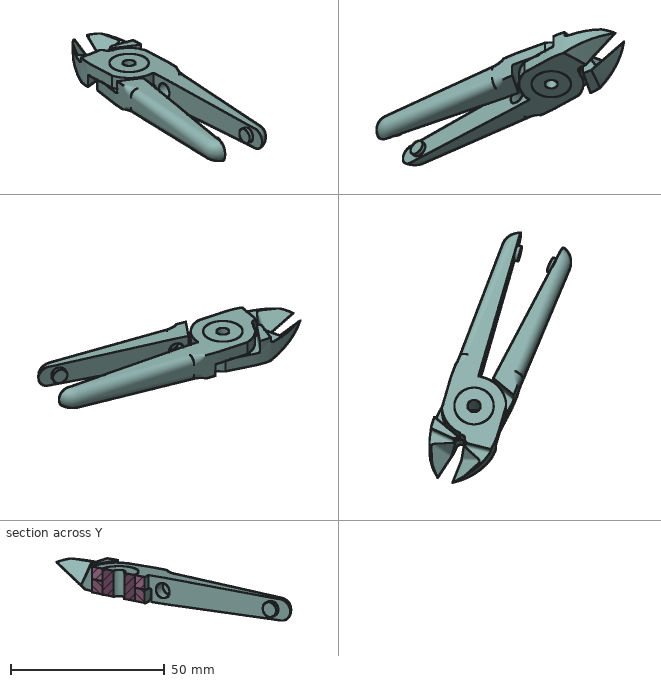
import cadquery as cq
import math


overall_length = 90.5
thickness = 9.0
half_thickness = thickness / 2
oversize = 18.1

pivot_radius = 6.4
pivot_bore_radius = 2.1
disc_radius = 10.5
channel_half_width = 11.4
channel_angle = 20.9
channel_fillet = 0.5

tip_x = -27.0
tip_y = 2.5
tip_z = 2.5
throat_x = -12.8
throat_y = 1.45
throat_mid_x = -11.2
throat_mid_y = -0.9
throat_end_x = -10.95
throat_end_y = 0.7
throat_disc_y = 1.1
jaw_crown_x = -8.3
jaw_crown_y = 10.8
jaw_shoulder_x = -6.2

jaw_waist_end_x = 4.0
handle_waist_end_x = -4.2
handle_shoulder_x = 6.9

step_low_x = -13.5
step_low_z = 2.4
step_top_x = -13.2
step_skew = 0.095
step_fillet = 0.8
jaw_crest_x = -23.9
jaw_crest_z = 3.6
valley_low_point = (-16.5, -1.6, -3.5)
valley_high_point = (-16.7, -8.2, 2.5)
wall_top_point = (-13.5, -1.5, 2.4)
bevel_reach = 2.5
valley_fillet = 1.1
underside_slope_inner = 0.59
underside_slope_outer = 0.46
underside_width = 11.3

grip_start_x = 16.65
grip_end_x = 57.7
shoulder_y = 10.7
grip_end_y = 11.8
grip_end_half_height = 3.6
inner_face_y = 1.4
inner_face_slope = 0.0953
round_start = 2.5
round_end = 3.5
inner_trim = 0.9
runout_length = 4.7
runout_overlap = 0.3
runout_steps = 4
seat_x = 15.6
seat_depth = 4.5
pad_x = 56.5
pad_radius = 2.5
pad_height = 1.45


def on_disc(x):
    return math.sqrt(disc_radius**2 - x**2)


def inner_y(x):
    return inner_face_y + inner_face_slope * x


outer_face_slope = (grip_end_y - shoulder_y) / (grip_end_x - handle_shoulder_x)


def outer_y(x):
    return shoulder_y + outer_face_slope * (x - handle_shoulder_x)


jaw_back_radius = ((jaw_crown_x - tip_x)**2 + (jaw_crown_y - tip_y)**2) / (2 * (jaw_crown_y - tip_y))


def jaw_back_y(x):
    return jaw_crown_y - jaw_back_radius + math.sqrt(jaw_back_radius**2 - (x - jaw_crown_x)**2)


grip_start_y = inner_y(grip_start_x)
grip_rise = (outer_y(grip_start_x) - grip_start_y) / (1 + inner_face_slope * outer_face_slope)
grip_start_outer_x = grip_start_x - inner_face_slope * grip_rise
grip_start_outer_y = outer_y(grip_start_outer_x)

cap_run = tip_x + overall_length - grip_end_x
cap_tip_y = inner_y(tip_x + overall_length)
cap_axis_y = (grip_end_y**2 - cap_tip_y**2 - cap_run**2) / (2 * (grip_end_y - cap_tip_y))

crotch_a = 1 + inner_face_slope**2
crotch_b = inner_face_y * inner_face_slope
crotch_c = inner_face_y**2 - disc_radius**2
crotch_x = (-crotch_b + math.sqrt(crotch_b**2 - crotch_a * crotch_c)) / crotch_a


def lever_plate():
    """Jaw on -Y, disc, and handle root on +Y, at full thickness."""
    jaw_middle_x = (tip_x + jaw_shoulder_x) / 2
    disc_start_x = -math.sqrt(disc_radius**2 - throat_disc_y**2)
    half_arc = math.sqrt(0.5) * disc_radius
    return (
        cq.Workplane("XY", origin=(0, 0, -half_thickness))
        .moveTo(tip_x, -tip_y)
        .lineTo(throat_x, -throat_y)
        .threePointArc((throat_mid_x, throat_mid_y), (throat_end_x, throat_end_y))
        .lineTo(disc_start_x, throat_disc_y)
        .threePointArc((-half_arc, half_arc), (handle_waist_end_x, on_disc(handle_waist_end_x)))
        .lineTo(handle_shoulder_x, shoulder_y)
        .lineTo(grip_start_outer_x, grip_start_outer_y)
        .lineTo(grip_start_x, grip_start_y)
        .lineTo(crotch_x, inner_y(crotch_x))
        .threePointArc((half_arc, -half_arc), (jaw_waist_end_x, -on_disc(jaw_waist_end_x)))
        .lineTo(jaw_shoulder_x, -jaw_back_y(jaw_shoulder_x))
        .threePointArc((jaw_middle_x, -jaw_back_y(jaw_middle_x)), (tip_x, -tip_y))
        .close()
        .extrude(thickness)
    )


def grip_section(plane, width, half_height, rounding):
    """Handle cross section, flat inside and rounded at both outer edges; local x runs outwards."""
    bulge = rounding * (1 - math.sqrt(0.5))
    return (
        cq.Workplane(plane)
        .moveTo(-inner_trim, -half_height)
        .lineTo(width - rounding, -half_height)
        .threePointArc((width - bulge, -half_height + bulge), (width, -half_height + rounding))
        .lineTo(width, half_height - rounding)
        .threePointArc((width - bulge, half_height - bulge), (width - rounding, half_height))
        .lineTo(-inner_trim, half_height)
        .close()
    )


def grip():
    start_plane = cq.Plane(
        origin=(grip_start_x, grip_start_y, 0),
        xDir=(-inner_face_slope, 1, 0),
        normal=(1, inner_face_slope, 0),
    )
    start_width = math.hypot(grip_start_outer_x - grip_start_x, grip_rise)
    end_plane = cq.Plane(origin=(grip_end_x, inner_y(grip_end_x), 0), xDir=(0, 1, 0), normal=(1, 0, 0))
    start = grip_section(start_plane, start_width, half_thickness, round_start)
    end = grip_section(end_plane, grip_end_y - inner_y(grip_end_x), grip_end_half_height, round_end)
    return cq.Workplane(cq.Solid.makeLoft([start.wire().val(), end.wire().val()], True))


def grip_cap():
    """The end section swung round an axis parallel to Z."""
    plane = cq.Plane(origin=(grip_end_x, cap_axis_y + inner_trim, 0), xDir=(0, 1, 0), normal=(1, 0, 0))
    width = grip_end_y - cap_axis_y - inner_trim
    section = grip_section(plane, width, grip_end_half_height, round_end)
    return section.revolve(90, (-inner_trim, 0, 0), (-inner_trim, -1, 0))


def inner_trimmer():
    """Cutter that leaves one flat inner face along the whole handle."""
    near_x = disc_radius + 0.9
    trim_depth = 3 * inner_trim
    far_x = grip_end_x + oversize
    return (
        cq.Workplane("XY", origin=(0, 0, -half_thickness))
        .moveTo(near_x, inner_y(near_x))
        .lineTo(far_x, inner_y(far_x))
        .lineTo(far_x, inner_y(far_x) - trim_depth)
        .lineTo(near_x, inner_y(near_x) - trim_depth)
        .close()
        .extrude(thickness)
    )


def pad():
    """Round stop that stands square on the inner face near the handle end."""
    plane = cq.Plane(origin=(pad_x, inner_y(pad_x), 0), xDir=(0, 0, 1), normal=(inner_face_slope, -1, 0))
    return cq.Workplane(plane).circle(pad_radius).extrude(pad_height)


def seat():
    """Round blind hole square to the inner face near the crotch."""
    plane = cq.Plane(origin=(seat_x, inner_y(seat_x), 0), xDir=(0, 0, 1), normal=(-inner_face_slope, 1, 0))
    return cq.Workplane(plane).circle(pad_radius).extrude(seat_depth)


def runout():
    """Cutter for the upper outer edge, whose rounding grows from nothing to that of the grip."""
    runout_start = 0.98 * runout_length
    curve_radius = (runout_length**2 + round_start**2) / (2 * round_start)
    runout_end_x = grip_start_outer_x + runout_overlap
    margin = 0.45
    wires = []
    for step in range(runout_steps + 1):
        back = runout_start * (1 - step / runout_steps)
        x = runout_end_x - back
        rounding = round_start - curve_radius + math.sqrt(curve_radius**2 - back**2)
        bulge = rounding * (1 - math.sqrt(0.5))
        plane = cq.Plane(origin=(x, outer_y(x), half_thickness), xDir=(0, 1, 0), normal=(1, 0, 0))
        section = (
            cq.Workplane(plane)
            .moveTo(-rounding, 0)
            .threePointArc((-bulge, -bulge), (0, -rounding))
            .lineTo(margin, -rounding)
            .lineTo(margin, margin)
            .lineTo(-rounding, margin)
            .close()
        )
        wires.append(section.wire().val())
    return cq.Workplane(cq.Solid.makeLoft(wires))


def channel():
    """Room under the middle plane for the other lever's disc, rounded along its two upper edges."""
    return (
        cq.Workplane("XY", origin=(0, 0, -half_thickness))
        .rect(2 * channel_half_width, 4 * disc_radius)
        .extrude(half_thickness)
        .edges(">Z and |Y")
        .fillet(channel_fillet)
        .rotate((0, 0, 0), (0, 0, 1), channel_angle)
    )


def lever_blank():
    upper_runout = runout()
    pivot_hole = cq.Workplane("XY").circle(pivot_radius).extrude(thickness, both=True)
    return (
        lever_plate()
        .cut(upper_runout)
        .cut(upper_runout.mirror("XY"))
        .union(grip())
        .union(grip_cap())
        .cut(inner_trimmer())
        .union(pad())
        .cut(seat())
        .cut(channel())
        .cut(pivot_hole)
    )


def jaw_step():
    """Cutter over the jaw: a gently falling top that ends at a rounded step."""
    top_slope = (jaw_crest_z - step_low_z) / (step_low_x - jaw_crest_x)
    front_x = tip_x - oversize
    wall_lean = (step_top_x - step_low_x) / (half_thickness - step_low_z)
    roof_z = half_thickness + oversize
    profile = (
        cq.Workplane("XZ")
        .moveTo(front_x, step_low_z + top_slope * (step_low_x - front_x))
        .lineTo(step_low_x, step_low_z)
        .lineTo(step_low_x + wall_lean * (roof_z - step_low_z), roof_z)
        .lineTo(front_x, roof_z)
        .close()
    )
    foot = (step_low_x + step_skew * oversize / 2, -oversize / 2, step_low_z)
    direction = cq.Vector(step_skew, -1, 0) * oversize
    cutter = cq.Workplane(cq.Solid.extrudeLinear(profile.wire().val(), [], direction))
    return cutter.edges(cq.selectors.NearestToPointSelector(foot)).fillet(step_fillet)


def bevel():
    """V-shaped cutter: the long bevel up to the tip and the short wall behind it."""
    tip = cq.Vector(tip_x, -tip_y, tip_z)
    valley_low = cq.Vector(*valley_low_point)
    valley_high = cq.Vector(*valley_high_point)
    wall_top = cq.Vector(*wall_top_point)
    plane = cq.Plane(origin=valley_low, xDir=(1, 0, 0), normal=valley_high - valley_low)
    front = plane.toLocalCoords(tip) * bevel_reach
    back = plane.toLocalCoords(wall_top) * bevel_reach
    return (
        cq.Workplane(plane)
        .moveTo(0, 0)
        .lineTo(front.x, front.y)
        .lineTo(back.x, back.y)
        .close()
        .extrude(oversize, both=True)
        .edges(cq.selectors.NearestToPointSelector(valley_low_point))
        .fillet(valley_fillet)
    )


def underside():
    """Twisted cutter under the jaw that falls from the tip, less steeply at the jaw back."""
    lead = 0.9
    run = oversize
    wires = []
    for y, slope in ((0, underside_slope_inner), (-underside_width, underside_slope_outer)):
        section = (
            cq.Workplane("XZ", origin=(0, y, 0))
            .moveTo(tip_x - lead, tip_z + slope * lead)
            .lineTo(tip_x + run, tip_z - slope * run)
            .lineTo(tip_x - lead, tip_z - slope * run)
            .close()
        )
        wires.append(section.wire().val())
    return cq.Workplane(cq.Solid.makeLoft(wires, True))


upper_blank = lever_blank()
lower_blank = upper_blank.rotate((0, 0, 0), (1, 0, 0), 180)
jaw_cutters = [jaw_step(), bevel(), underside()]


def upper_lever():
    lever = upper_blank
    for cutter in jaw_cutters:
        lever = lever.cut(cutter)
    return lever


def lower_lever():
    lever = lower_blank
    for cutter in jaw_cutters:
        lever = lever.cut(cutter.mirror("XZ"))
    return lever


def pivot():
    return (
        cq.Workplane("XY", origin=(0, 0, -half_thickness))
        .circle(pivot_radius)
        .circle(pivot_bore_radius)
        .extrude(thickness)
    )


result = cq.Compound.makeCompound([upper_lever().val(), lower_lever().val(), pivot().val()])